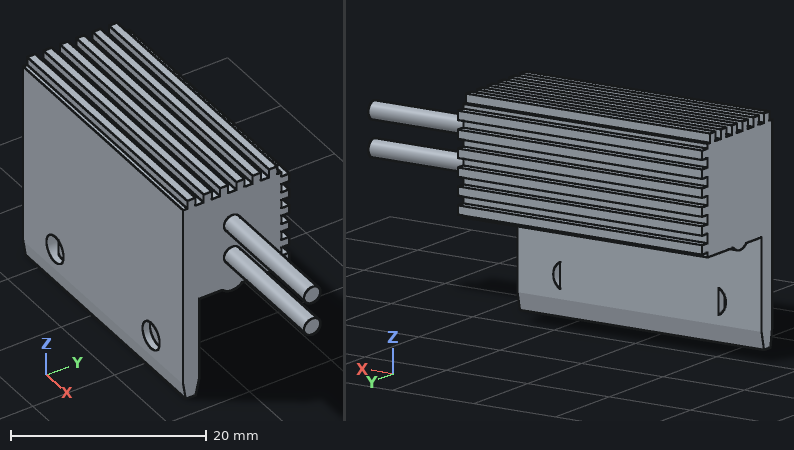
import cadquery as cq

overall_length = 45.0
overall_height = 25.0
body_length = 30.0
block_side = 12.0

fin_count = 6
fin_pitch = block_side / fin_count
fin_width = fin_pitch / 2
fin_height = 1.0
block_top = overall_height - fin_height
block_bottom = block_top - block_side
block_center_y = block_side / 2
block_center_z = block_bottom + block_side / 2

bead_width = 2.45
bead_depth = 0.5

flange_thickness = 2.0
taper_height = 2.0
front_taper_inset = 0.3
back_taper_inset = 0.45

hole_diameter = 3.2
hole_spacing = 18.0
hole_height = 4.5
hole_depth_to_insert = 0.9
insert_length = 19.5

wire_diameter = 2.02
wire_spacing = 4.0
wire_length = overall_length - body_length


def make_body():
    """Block, flange and underside bead as one profile in the YZ plane."""
    bead_start = block_center_y - bead_width / 2
    bead_end = block_center_y + bead_width / 2
    return (
        cq.Workplane("YZ")
        .moveTo(0, block_top)
        .lineTo(0, taper_height)
        .lineTo(front_taper_inset, 0)
        .lineTo(flange_thickness - back_taper_inset, 0)
        .lineTo(flange_thickness, taper_height)
        .lineTo(flange_thickness, block_bottom)
        .lineTo(bead_start, block_bottom)
        .threePointArc((block_center_y, block_bottom - bead_depth), (bead_end, block_bottom))
        .lineTo(block_side, block_bottom)
        .lineTo(block_side, block_top)
        .close()
        .extrude(body_length)
    )


def make_fins():
    """Rows of fins on the top and back faces of the block."""
    fins = cq.Workplane("XY")
    for index in range(fin_count):
        offset = (index + 0.5) * fin_pitch
        top_fin = cq.Workplane("XY").box(body_length, fin_width, fin_height, centered=(False, True, False))
        back_fin = cq.Workplane("XY").box(body_length, fin_height, fin_width, centered=(False, False, True))
        fins = fins.add(top_fin.translate((0, offset, block_top)))
        fins = fins.add(back_fin.translate((0, block_side, block_bottom + offset)))
    return fins.combine()


def make_hole_cutters():
    """Through holes, less the part of each that the insert fills."""
    holes = (
        cq.Workplane("XZ")
        .center(body_length / 2, hole_height)
        .rarray(hole_spacing, 0.45, 2, 1)
        .circle(hole_diameter / 2)
        .extrude(-flange_thickness)
    )
    insert = (
        cq.Workplane("XY")
        .box(insert_length, flange_thickness, hole_diameter, centered=(True, False, True))
        .translate((body_length / 2, hole_depth_to_insert, hole_height))
    )
    return holes.cut(insert)


def make_wires():
    """Two round leads, one above the other, centred on the block."""
    return (
        cq.Workplane("YZ", origin=(body_length, block_center_y, block_center_z))
        .rarray(0.45, wire_spacing, 1, 2)
        .circle(wire_diameter / 2)
        .extrude(wire_length)
    )


result = make_body().union(make_fins()).cut(make_hole_cutters()).union(make_wires())